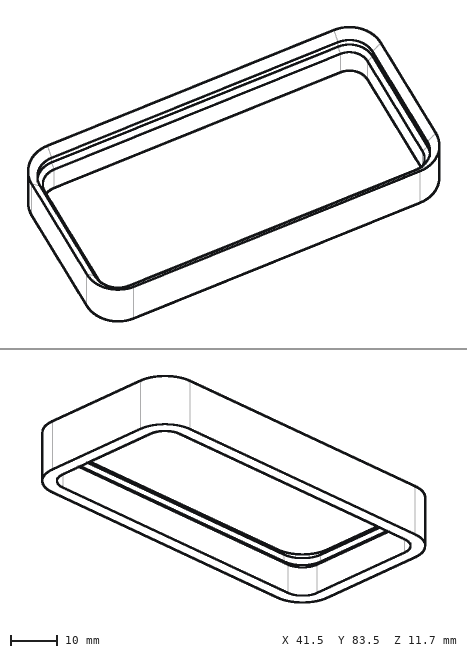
import cadquery as cq

width = 41.5
length = 83.5
height = 11.7
corner_radius = 7.5

upper_slope = 2.0
step_height = 1.7
lower_slope = 1.2

slope_angle = 45.0
step_top = height - upper_slope
step_bottom = step_top - step_height
wall_top = step_bottom - lower_slope
wall_thickness = upper_slope + lower_slope


def rounded_outline(inset, base):
    """Outline parallel to the outer wall, with concentric corner arcs."""
    return (
        cq.Workplane("XY")
        .workplane(offset=base)
        .sketch()
        .rect(width - 2 * inset, length - 2 * inset)
        .vertices()
        .fillet(corner_radius - inset)
        .finalize()
    )


def straight_block(inset, base, top):
    return rounded_outline(inset, base).extrude(top - base)


def flared_block(inset, base, top):
    """Block that widens upwards at the slope angle."""
    return rounded_outline(inset, base).extrude(top - base, taper=-slope_angle)


result = (
    straight_block(0, 0, height)
    .cut(straight_block(wall_thickness, 0, wall_top))
    .cut(flared_block(wall_thickness, wall_top, step_bottom))
    .cut(straight_block(upper_slope, step_bottom, step_top))
    .cut(flared_block(upper_slope, step_top, height))
)